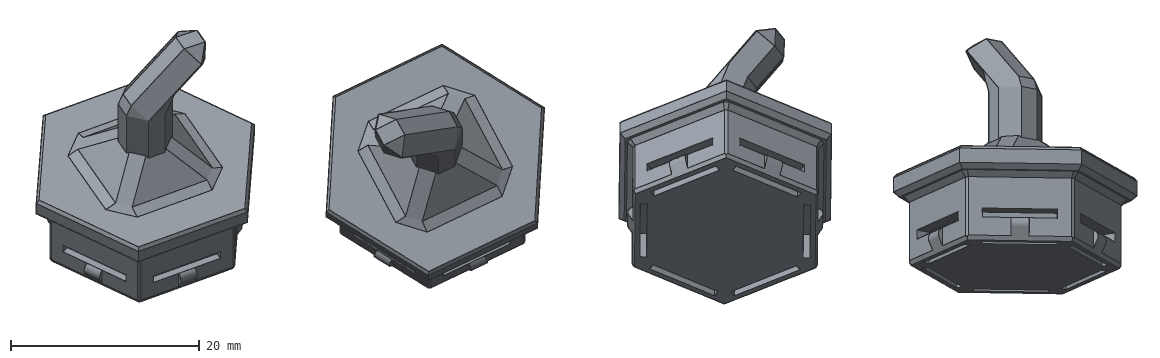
import cadquery as cq
import math

ACROSS_FLATS = 22.5
FLANGE_BOTTOM = 7.55
FLANGE_TOP = 10.05
TOP_BEVEL_INSET = 0.3
TOP_BEVEL_HEIGHT = 0.37
BOTTOM_BEVEL = 0.55

BODY_APOTHEM = 9.85
CORNER_FLAT = 0.35
BASE_BEVEL_INSET = 0.24
BASE_BEVEL_HEIGHT = 0.47
FLARE = 0.6

SLOT_WIDTH = 8.0
SLOT_HEIGHT = 1.0
SLOT_DEPTH = 1.52
SLOT_BOTTOM = 2.5
SPRING_WALL = 0.8
CLIP_WIDTH = 1.95
CLIP_NOSE_RADIUS = 0.81

BOOT_HALF = 6.95
BOOT_FLAT_HALF = 4.45
BOOT_SKIRT_HALF = 5.77
BOOT_SKIRT_HEIGHT = 0.45
BOOT_RISE = 3.4

LEVER_HALF = 2.73
LEVER_FLAT_HALF = 0.97
LEVER_TOP = 26.25
ARM_LENGTH = 8.53
ARM_ELEVATION = math.radians(42.5)
ARM_SIDE_FLAT = 0.13
INNER_BEND_LENGTH = 4.0

HEX_SIDES = 6
SIDE_ANGLES = [360 / HEX_SIDES * i for i in range(HEX_SIDES)]


def hexagon(apothem):
    """Corners of a hexagon whose side faces point along SIDE_ANGLES."""
    radius = apothem / math.cos(math.pi / HEX_SIDES)
    angles = [math.radians(a) + math.pi / HEX_SIDES for a in SIDE_ANGLES]
    return [(radius * math.cos(a), radius * math.sin(a)) for a in angles]


def blunted_hexagon(apothem, corner_reach):
    """Hexagon with its corners cut by flats at corner_reach from the centre."""
    half_side = (corner_reach - apothem * math.cos(math.pi / HEX_SIDES)) / math.sin(math.pi / HEX_SIDES)
    points = []
    for angle in SIDE_ANGLES:
        a = math.radians(angle)
        for v in (-half_side, half_side):
            points.append((apothem * math.cos(a) - v * math.sin(a), apothem * math.sin(a) + v * math.cos(a)))
    return points


def octagon(half, flat_half):
    """Octagon of given half width whose axis-aligned sides have half length flat_half."""
    h, f = half, flat_half
    return [(h, -f), (h, f), (f, h), (-f, h), (-h, f), (-h, -f), (-f, -h), (f, -h)]


def frustum(bottom_points, bottom_z, top_points, top_z):
    """Solid with flat sides between two horizontal outlines."""
    wires = []
    for points, z in ((bottom_points, bottom_z), (top_points, top_z)):
        wires.append(cq.Wire.makePolygon([cq.Vector(x, y, z) for x, y in points], close=True))
    return cq.Workplane(cq.Solid.makeLoft(wires, True))


def make_flange():
    apothem = ACROSS_FLATS / 2
    rim_bottom = FLANGE_BOTTOM + BOTTOM_BEVEL
    rim_top = FLANGE_TOP - TOP_BEVEL_HEIGHT
    outline = hexagon(apothem)
    lower = frustum(hexagon(apothem - BOTTOM_BEVEL), FLANGE_BOTTOM, outline, rim_bottom)
    rim = frustum(outline, rim_bottom, outline, rim_top)
    upper = frustum(outline, rim_top, hexagon(apothem - TOP_BEVEL_INSET), FLANGE_TOP)
    return lower.union(rim).union(upper)


def make_body():
    corner_radius = BODY_APOTHEM / math.cos(math.pi / HEX_SIDES)
    corner_reach = corner_radius - CORNER_FLAT / 2 * math.tan(math.pi / HEX_SIDES)
    flare_start = FLANGE_BOTTOM - FLARE
    outline = blunted_hexagon(BODY_APOTHEM, corner_reach)
    flared_outline = blunted_hexagon(BODY_APOTHEM + FLARE, corner_reach + FLARE)

    body = frustum(outline, 0, outline, flare_start)
    flare = frustum(outline, flare_start, flared_outline, FLANGE_BOTTOM)
    return body.union(flare)


def make_base_bevel():
    """Cutter for the bevel along the bottom edge of the +X side face."""
    outline = [
        (BODY_APOTHEM - BASE_BEVEL_INSET, 0),
        (BODY_APOTHEM, BASE_BEVEL_HEIGHT),
        (BODY_APOTHEM, 0),
    ]
    return cq.Workplane("XZ").polyline(outline).close().extrude(BODY_APOTHEM, both=True)


def make_slot():
    """Cutter for the +X side face: an open slot whose rear part runs on down through the base."""
    slot_back = BODY_APOTHEM - SLOT_DEPTH
    slot_top = SLOT_BOTTOM + SLOT_HEIGHT
    spring_back = BODY_APOTHEM - SPRING_WALL
    outline = [
        (BODY_APOTHEM, SLOT_BOTTOM),
        (BODY_APOTHEM, slot_top),
        (slot_back, slot_top),
        (slot_back, 0),
        (spring_back, 0),
        (spring_back, SLOT_BOTTOM),
    ]
    return cq.Workplane("XZ").polyline(outline).close().extrude(SLOT_WIDTH / 2, both=True)


def make_clip():
    """Right-angled wedge on the +X side face: its underside continues the base bevel, its nose is round."""
    slope = math.atan2(BASE_BEVEL_INSET, BASE_BEVEL_HEIGHT)
    underside_length = (SLOT_BOTTOM - BASE_BEVEL_HEIGHT) * math.cos(slope)
    nose_x = BODY_APOTHEM + underside_length * math.sin(slope)
    nose_z = BASE_BEVEL_HEIGHT + underside_length * math.cos(slope)
    root_x = BODY_APOTHEM - SPRING_WALL / 2
    outline = [
        (BODY_APOTHEM - BASE_BEVEL_INSET, 0),
        (nose_x, nose_z),
        (BODY_APOTHEM, SLOT_BOTTOM),
        (root_x, SLOT_BOTTOM),
        (root_x, 0),
    ]
    wedge = cq.Workplane("XZ").polyline(outline).close().extrude(CLIP_WIDTH / 2, both=True)
    return wedge.edges("|Y").edges(">X").fillet(CLIP_NOSE_RADIUS)


def make_boot():
    skirt_top = FLANGE_TOP + BOOT_SKIRT_HEIGHT
    skirt_outline = octagon(BOOT_SKIRT_HALF, BOOT_FLAT_HALF)
    top_outline = octagon(BOOT_SKIRT_HALF - BOOT_RISE, BOOT_FLAT_HALF - BOOT_RISE)
    skirt = frustum(octagon(BOOT_HALF, BOOT_FLAT_HALF), FLANGE_TOP, skirt_outline, skirt_top)
    slopes = frustum(skirt_outline, skirt_top, top_outline, skirt_top + BOOT_RISE)
    return skirt.union(slopes)


def make_lever():
    """Octagonal stem that bends toward +Y into a flatter octagonal arm with a pointed tip.

    Points are given for the +X half: "edge" points lie on the front and back faces,
    "side" points on the outermost side plane. The -X half mirrors them.
    """
    along = cq.Vector(0, math.cos(ARM_ELEVATION), math.sin(ARM_ELEVATION))
    upward = cq.Vector(0, -math.sin(ARM_ELEVATION), math.cos(ARM_ELEVATION))
    bevel = LEVER_HALF - LEVER_FLAT_HALF
    stem_bottom = FLANGE_TOP
    bend_z = LEVER_TOP - ARM_LENGTH * along.z - bevel * upward.z

    def stem_side(y, z):
        return cq.Vector(LEVER_HALF, y, z)

    def stem_edge(y, z):
        return cq.Vector(LEVER_FLAT_HALF, y, z)

    pivot = stem_side(-LEVER_FLAT_HALF, bend_z)
    inward = cq.Vector(-bevel, 0, 0)

    def arm_side(distance, rise):
        return pivot + along * distance + upward * rise

    def arm_edge(distance, rise):
        return arm_side(distance, rise) + inward

    back_side_low = stem_side(-LEVER_FLAT_HALF, stem_bottom)
    back_edge_low = stem_edge(-LEVER_HALF, stem_bottom)
    back_edge = stem_edge(-LEVER_HALF, bend_z)
    front_side_low = stem_side(LEVER_FLAT_HALF, stem_bottom)
    front_edge_low = stem_edge(LEVER_HALF, stem_bottom)
    front_side = stem_side(LEVER_FLAT_HALF, bend_z)
    front_edge = stem_edge(LEVER_HALF, bend_z)

    arm_top_start = arm_edge(0, bevel)
    arm_top_end = arm_edge(ARM_LENGTH, bevel)
    upper_side_end = arm_side(ARM_LENGTH, 0)
    lower_side_end = arm_side(ARM_LENGTH, -ARM_SIDE_FLAT)
    arm_bottom_end = arm_edge(ARM_LENGTH, -ARM_SIDE_FLAT - bevel)
    upper_tip = arm_edge(ARM_LENGTH + bevel, 0)
    lower_tip = arm_edge(ARM_LENGTH + bevel, -ARM_SIDE_FLAT)

    bend_side = arm_side(INNER_BEND_LENGTH, -ARM_SIDE_FLAT)
    facet_normal = (front_side - front_edge).cross(bend_side - front_side)
    to_facet = (front_edge - arm_bottom_end).dot(facet_normal) / along.dot(facet_normal)
    bend_edge = arm_bottom_end + along * to_facet

    side_faces = [
        [back_side_low, pivot, upper_side_end, lower_side_end, bend_side, front_side, front_side_low],
        [back_edge_low, back_edge, pivot, back_side_low],
        [back_edge, arm_top_start, pivot],
        [arm_top_start, arm_top_end, upper_side_end, pivot],
        [arm_top_end, upper_tip, upper_side_end],
        [upper_side_end, upper_tip, lower_tip, lower_side_end],
        [lower_side_end, lower_tip, arm_bottom_end],
        [lower_side_end, arm_bottom_end, bend_edge, bend_side],
        [bend_side, bend_edge, front_edge, front_side],
        [front_side, front_edge, front_edge_low, front_side_low],
    ]
    middle_outline = [
        back_edge_low, back_edge, arm_top_start, arm_top_end, upper_tip,
        lower_tip, arm_bottom_end, bend_edge, front_edge, front_edge_low,
    ]

    def mirrored(point):
        return cq.Vector(-point.x, point.y, point.z)

    polygons = side_faces + [[mirrored(p) for p in face] for face in side_faces]
    for p, q in zip(middle_outline, middle_outline[1:]):
        polygons.append([p, q, mirrored(q), mirrored(p)])
    bottom_outline = octagon(LEVER_HALF, LEVER_FLAT_HALF)
    polygons.append([cq.Vector(x, y, stem_bottom) for x, y in bottom_outline])

    faces = [cq.Face.makeFromWires(cq.Wire.makePolygon(p, close=True)) for p in polygons]
    return cq.Workplane(cq.Solid.makeSolid(cq.Shell.makeShell(faces)))


switch = make_body().union(make_flange()).union(make_boot()).union(make_lever())
for side_angle in SIDE_ANGLES:
    for cutter in (make_base_bevel(), make_slot()):
        switch = switch.cut(cutter.rotate((0, 0, 0), (0, 0, 1), side_angle))
    switch = switch.union(make_clip().rotate((0, 0, 0), (0, 0, 1), side_angle))

result = cq.Workplane(switch.solids().val())